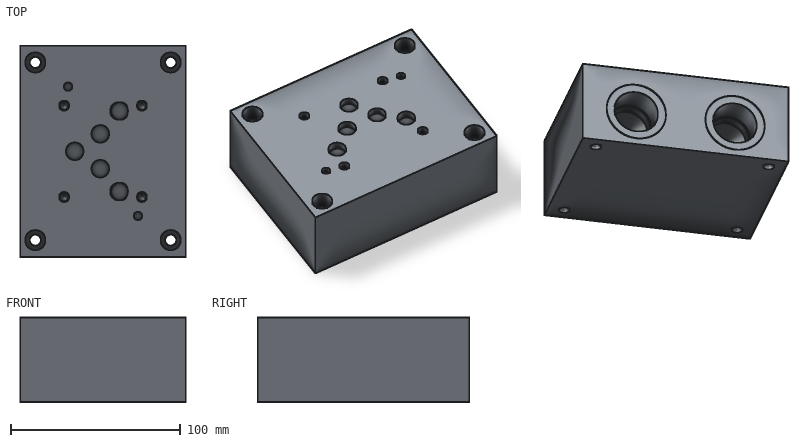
import cadquery as cq

LENGTH_X = 98.0
LENGTH_Y = 125.0
HEIGHT = 50.0

MOUNT_PITCH_X = 80.0
MOUNT_PITCH_Y = 105.0
MOUNT_DIAMETER = 6.5
MOUNT_HEAD_DIAMETER = 12.0
MOUNT_HEAD_DEPTH = 12.0

VALVE_PITCH_X = 46.0
VALVE_PITCH_Y = 54.0
VALVE_THREAD_DIAMETER = 6.0
VALVE_CORE_DIAMETER = 5.0
VALVE_THREAD_DEPTH = 12.0
VALVE_CORE_DEPTH = 14.0

PORT_DIAMETER = 10.5
PORT_DEPTH = 5.0
PRESSURE_OFFSET_X = 6.3
WORK_OFFSET_X = 21.4
WORK_OFFSET_Y = 10.3
TANK_OFFSET_X = 32.5
TANK_OFFSET_Y = 23.8
TANK_TILT = 7.0

PIN_DIAMETER = 5.0
PIN_DEPTH = 4.0
PIN_X = 20.65
PIN_Y = 38.2

SIDE_PORT_PITCH_Y = 60.0
SIDE_PORT_Z = 22.0
SPOTFACE_DIAMETER = 36.0
SPOTFACE_DEPTH = 0.5
SIDE_THREAD_DIAMETER = 26.44
SIDE_THREAD_DEPTH = 17.5
SIDE_CORE_DIAMETER = 24.5
SIDE_CORE_DEPTH = 24.0

DRILL_POINT_RATIO = 0.3


def revolved_hole(steps, with_point):
    """Tool pointing down from the origin; steps are (diameter, depth), widest first."""
    outline = cq.Workplane("XZ").moveTo(0, 0)
    start_depth = 0.0
    for diameter, depth in steps:
        outline = outline.lineTo(diameter / 2, -start_depth).lineTo(diameter / 2, -depth)
        start_depth = depth
    tip_depth = start_depth
    if with_point:
        tip_depth += steps[-1][0] * DRILL_POINT_RATIO
    outline = outline.lineTo(0, -tip_depth).close()
    return outline.revolve(360, (0, 0, 0), (0, 1, 0))


def tilted_hole(diameter, depth, tilt):
    """Flat-bottomed tool whose axis passes through the origin and leans toward +X going down."""
    bore_length = 4 * depth
    bore = cq.Workplane("XY").circle(diameter / 2).extrude(bore_length, both=True)
    bore = bore.rotate((0, 0, 0), (0, 1, 0), -tilt)
    slab_width = 4 * diameter
    slab = cq.Workplane("XY").rect(slab_width, slab_width).extrude(-depth)
    return bore.intersect(slab)


def cut_from_top(body, tool, points):
    for x, y in points:
        body = body.cut(tool.translate((x, y, HEIGHT)))
    return body


def rectangle_corners(pitch_x, pitch_y):
    return [(sx * pitch_x / 2, sy * pitch_y / 2) for sx in (-1, 1) for sy in (-1, 1)]


def cut_mounting_holes(body):
    tool = revolved_hole([(MOUNT_HEAD_DIAMETER, MOUNT_HEAD_DEPTH), (MOUNT_DIAMETER, HEIGHT)], False)
    return cut_from_top(body, tool, rectangle_corners(MOUNT_PITCH_X, MOUNT_PITCH_Y))


def cut_valve_holes(body):
    steps = [(VALVE_THREAD_DIAMETER, VALVE_THREAD_DEPTH), (VALVE_CORE_DIAMETER, VALVE_CORE_DEPTH)]
    return cut_from_top(body, revolved_hole(steps, True), rectangle_corners(VALVE_PITCH_X, VALVE_PITCH_Y))


def cut_valve_ports(body):
    left_x = -VALVE_PITCH_X / 2
    work_x = left_x + WORK_OFFSET_X
    tank_x = left_x + TANK_OFFSET_X
    upright_points = [(left_x + PRESSURE_OFFSET_X, 0), (work_x, WORK_OFFSET_Y), (work_x, -WORK_OFFSET_Y)]
    body = cut_from_top(body, revolved_hole([(PORT_DIAMETER, PORT_DEPTH)], False), upright_points)
    tank_points = [(tank_x, TANK_OFFSET_Y), (tank_x, -TANK_OFFSET_Y)]
    return cut_from_top(body, tilted_hole(PORT_DIAMETER, PORT_DEPTH, TANK_TILT), tank_points)


def cut_pin_holes(body):
    tool = revolved_hole([(PIN_DIAMETER, PIN_DEPTH)], False)
    return cut_from_top(body, tool, [(-PIN_X, PIN_Y), (PIN_X, -PIN_Y)])


def cut_side_ports(body):
    steps = [
        (SPOTFACE_DIAMETER, SPOTFACE_DEPTH),
        (SIDE_THREAD_DIAMETER, SIDE_THREAD_DEPTH),
        (SIDE_CORE_DIAMETER, SIDE_CORE_DEPTH),
    ]
    tool = revolved_hole(steps, True).rotate((0, 0, 0), (0, 1, 0), -90)
    for side in (-1, 1):
        body = body.cut(tool.translate((-LENGTH_X / 2, side * SIDE_PORT_PITCH_Y / 2, SIDE_PORT_Z)))
    return body


result = cq.Workplane("XY").box(LENGTH_X, LENGTH_Y, HEIGHT, centered=(True, True, False))
result = cut_mounting_holes(result)
result = cut_valve_holes(result)
result = cut_valve_ports(result)
result = cut_pin_holes(result)
result = cut_side_ports(result)